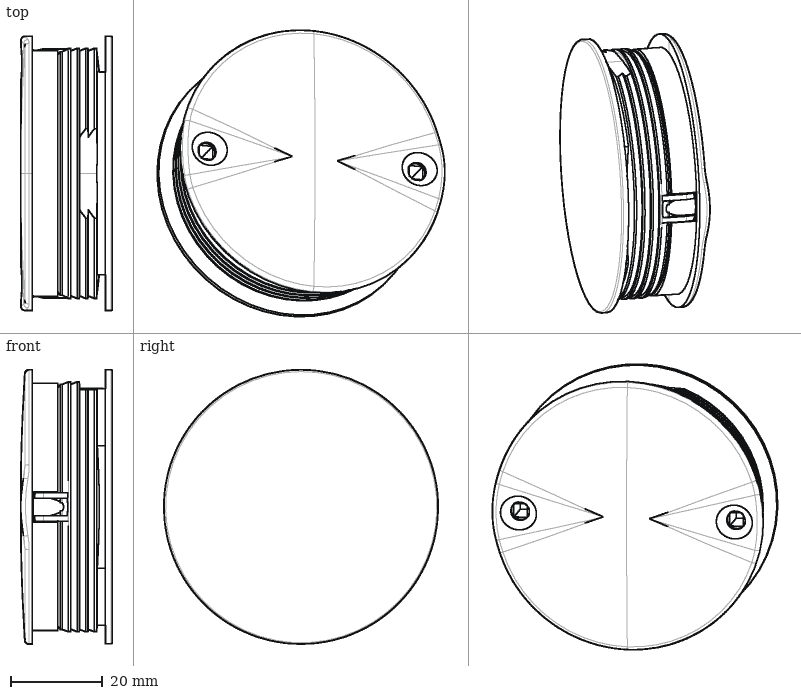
import cadquery as cq
import math

OUTER_R = 30.0
TOTAL_LENGTH = 20.1

DOME_R = 474.0
FLANGE_BACK = 2.6
RIM_FILLET = 0.95
CAP_BODY_R = 27.05
CAP_BACK = 8.15

RIDGE_APEX = 5.05
RIDGE_REFERENCE = 29.05
RIDGE_END = 31.2
RIDGE_CREST = 0.05
SHOULDER_HALF_WIDTH = 6.35
SHOULDER_DROP = 0.6
FOOT_HALF_WIDTH = 11.15
FOOT_SINK = 0.02
RIDGE_SECTIONS = 3
TIP_LENGTH = 0.2

HOLE_OFFSET = 24.0
SINK_R = 3.99
HOLE_R = 2.05
BUSHING_R = 2.95
BUSHING_FRONT = 2.8
BUSHING_BACK = 10.5
SQUARE_SIDE = 3.0

RIB_COUNT = 4
RIB_PITCH = 1.89
RIB_TIP_R = 27.35
RIB_ROOT_R = 26.8
RIB_TIP_WIDTH = 0.5
RIB_BACK_SLOPE = 0.05
RING_FRONT = 8.7
FIRST_RIB = 9.1
NECK_R = 26.1
HUB_R = 25.9
HUB_FLAT = 22.2
RING_BACK_AT_FLAT = 17.2
DISC_THICKNESS = 1.55
DISC_FILLET = 0.35

RELIEF_RIDGE_Z = 25.9
RELIEF_EDGE_Z = 25.55
RELIEF_HALF_WIDTH = 9.85

TONGUE_HALF_WIDTH = 3.1
SLOT_CLEARANCE = 0.2
TONGUE_INNER = 24.6
TONGUE_FRONT = 3.1
TONGUE_R = 27.3
LEAD_IN_LENGTH = 1.85
LEAD_IN_R = 26.9
CHANNEL_HALF_WIDTH = 1.9
CHANNEL_SLOPE = 0.23

DISC_FRONT = TOTAL_LENGTH - DISC_THICKNESS
RING_BACK = FIRST_RIB + RIB_COUNT * RIB_PITCH - RIB_BACK_SLOPE
FIRST_TIP = FIRST_RIB + RIB_PITCH - RIB_BACK_SLOPE - RIB_TIP_WIDTH
RELIEF_FRONT = FIRST_RIB + 2 * RIB_PITCH
SIDES = (-1, 1)


def revolve_about_x(profile):
    """Turn a closed XZ profile around the X axis."""
    return profile.close().revolve(360, (0, 0, 0), (1, 0, 0))


def x_cylinder(radius, front, back, y=0.0):
    plane = cq.Plane(origin=(front, y, 0), xDir=(0, 0, 1), normal=(1, 0, 0))
    return cq.Workplane(plane).circle(radius).extrude(back - front)


def x_box(front, back, side, y_inner, y_outer, half_width):
    """Box centred on Z = 0, between two distances from the axis on one Y side."""
    return cq.Workplane("XY").box(back - front, y_outer - y_inner, 2 * half_width).translate(
        ((front + back) / 2, side * (y_inner + y_outer) / 2, 0)
    )


def dome_x(radius):
    """X of the dome at a distance from the axis."""
    return DOME_R - math.sqrt(DOME_R**2 - radius**2)


def ridge_section(side, y):
    """Convex crest between two blends that run out on the dome."""
    growth = (y - RIDGE_APEX) / (RIDGE_REFERENCE - RIDGE_APEX)
    apex_x = dome_x(RIDGE_APEX)
    crest_x = apex_x + (RIDGE_CREST - apex_x) * growth
    shoulder_z = SHOULDER_HALF_WIDTH * growth
    drop = SHOULDER_DROP * growth**2
    foot_z = FOOT_HALF_WIDTH * growth
    foot_x = dome_x(math.hypot(y, foot_z)) + FOOT_SINK

    def point(x, z):
        return cq.Vector(x, side * y, z)

    def blend(sign):
        shoulder_slope = cq.Vector(2 * drop / shoulder_z, 0, sign)
        foot_slope = cq.Vector(foot_z / DOME_R, 0, sign)
        return cq.Edge.makeSpline(
            [point(crest_x + drop, sign * shoulder_z), point(foot_x, sign * foot_z)],
            [shoulder_slope, foot_slope],
        )

    crest = cq.Edge.makeThreePointArc(
        point(crest_x + drop, -shoulder_z), point(crest_x, 0), point(crest_x + drop, shoulder_z)
    )
    skirt = cq.Wire.makePolygon(
        [
            point(foot_x, foot_z),
            point(FLANGE_BACK, foot_z),
            point(FLANGE_BACK, -foot_z),
            point(foot_x, -foot_z),
        ]
    )
    return cq.Wire.assembleEdges([blend(-1), crest, blend(1), *skirt.Edges()])


def ridge(side):
    """Ridge from its point near the axis to the rounded rim."""
    step = (RIDGE_END - RIDGE_APEX) / RIDGE_SECTIONS
    tip = RIDGE_APEX + TIP_LENGTH
    places = [tip] + [RIDGE_APEX + i * step for i in range(1, RIDGE_SECTIONS + 1)]
    spike = cq.Solid.makeLoft([ridge_section(side, y) for y in places])
    trimmed = cq.Workplane(spike).intersect(x_cylinder(OUTER_R, -0.6, FLANGE_BACK))
    rim_face = trimmed.faces(cq.selectors.NearestToPointSelector((1.8, side * OUTER_R, 0)))
    return rim_face.edges("<X").fillet(RIM_FILLET)


def bushing(side):
    """Round bushing with a square bore."""
    y = side * HOLE_OFFSET
    body = x_cylinder(BUSHING_R, BUSHING_FRONT, BUSHING_BACK, y)
    return body.faces("<X").workplane(origin=(0, y, 0)).rect(SQUARE_SIDE, SQUARE_SIDE).cutThruAll()


def screw_hole(side):
    """Countersink at 45 degrees on a round hole that ends at the bushing."""
    y = side * HOLE_OFFSET
    sink = cq.Solid.makeCone(
        SINK_R, HOLE_R, SINK_R - HOLE_R, pnt=cq.Vector(RIDGE_CREST, y, 0), dir=cq.Vector(1, 0, 0)
    )
    mouth = x_cylinder(SINK_R, -0.6, RIDGE_CREST, y)
    return x_cylinder(HOLE_R, 0, BUSHING_FRONT, y).union(cq.Workplane(sink)).union(mouth)


def half_flange():
    """The -Y half of the domed flange, with its ridge."""
    side = -1
    half = (
        cq.Workplane("XZ")
        .moveTo(0, 0)
        .radiusArc((dome_x(OUTER_R), OUTER_R), DOME_R)
        .lineTo(FLANGE_BACK, OUTER_R)
        .lineTo(FLANGE_BACK, 0)
        .close()
        .revolve(180, (0, 0, 0), (1, 0, 0))
    )
    if half.val().Center().y > 0:
        half = half.mirror("XZ")
    rounded = half.faces("%CYLINDER").edges("<X").fillet(RIM_FILLET)
    return rounded.union(ridge(side))


def make_cap():
    half = half_flange()
    flange = half.union(half.mirror("XZ"))
    cap = flange.union(x_cylinder(CAP_BODY_R, FLANGE_BACK, CAP_BACK))
    for side in SIDES:
        slot = x_box(
            BUSHING_FRONT, CAP_BACK, side, TONGUE_INNER, OUTER_R, TONGUE_HALF_WIDTH + SLOT_CLEARANCE
        )
        pocket = x_cylinder(BUSHING_R, BUSHING_FRONT, CAP_BACK, side * HOLE_OFFSET)
        cap = cap.cut(slot).cut(pocket).cut(screw_hole(side))
    return cap


def ribbed_ring():
    """Ring with saw-tooth ribs and a slightly conical back."""
    profile = (
        cq.Workplane("XZ")
        .moveTo(CAP_BACK, 0)
        .lineTo(CAP_BACK, NECK_R)
        .lineTo(RING_FRONT, RIB_ROOT_R)
    )
    for i in range(RIB_COUNT):
        start = FIRST_RIB + i * RIB_PITCH
        tip_end = start + RIB_PITCH - RIB_BACK_SLOPE
        profile = (
            profile.lineTo(start, RIB_ROOT_R)
            .lineTo(tip_end - RIB_TIP_WIDTH, RIB_TIP_R)
            .lineTo(tip_end, RIB_TIP_R)
        )
    return revolve_about_x(profile.lineTo(RING_BACK_AT_FLAT, HUB_FLAT).lineTo(RING_BACK_AT_FLAT, 0))


def rib_relief():
    above = OUTER_R
    fall = (RELIEF_RIDGE_Z - RELIEF_EDGE_Z) / RELIEF_HALF_WIDTH
    half = OUTER_R / 2
    edge_z = RELIEF_RIDGE_Z - fall * half
    return (
        cq.Workplane("YZ", origin=(RELIEF_FRONT, 0, 0))
        .polyline([(-half, edge_z), (0, RELIEF_RIDGE_Z), (half, edge_z), (half, above), (-half, above)])
        .close()
        .extrude(RING_BACK_AT_FLAT - RELIEF_FRONT)
    )


def tongue(side):
    """Two rails with a lead-in at the front."""
    envelope = revolve_about_x(
        cq.Workplane("XZ")
        .moveTo(TONGUE_FRONT, 0)
        .lineTo(TONGUE_FRONT, LEAD_IN_R)
        .lineTo(TONGUE_FRONT + LEAD_IN_LENGTH, TONGUE_R)
        .lineTo(FIRST_TIP, TONGUE_R)
        .lineTo(FIRST_TIP, 0)
    )
    block = x_box(TONGUE_FRONT, RING_BACK, side, TONGUE_INNER, OUTER_R, TONGUE_HALF_WIDTH)
    floor_start = RIB_ROOT_R - CHANNEL_SLOPE * (FIRST_RIB - TONGUE_FRONT)
    channel = (
        cq.Workplane("XY")
        .polyline(
            [
                (TONGUE_FRONT, side * floor_start),
                (FIRST_RIB, side * RIB_ROOT_R),
                (FIRST_TIP, side * RIB_TIP_R),
                (FIRST_TIP, side * OUTER_R),
                (TONGUE_FRONT, side * OUTER_R),
            ]
        )
        .close()
        .extrude(CHANNEL_HALF_WIDTH, both=True)
    )
    return block.intersect(envelope).cut(channel)


def make_base():
    hub = x_cylinder(HUB_R, RING_BACK, DISC_FRONT).intersect(
        cq.Workplane("XY").box(3 * OUTER_R, 2 * HUB_FLAT, 3 * OUTER_R)
    )
    disc = x_cylinder(OUTER_R, DISC_FRONT, TOTAL_LENGTH).faces(">X").edges().fillet(DISC_FILLET)
    base = ribbed_ring().cut(rib_relief()).union(hub).union(disc)
    for side in SIDES:
        base = base.union(tongue(side))
        base = base.cut(x_cylinder(BUSHING_R, BUSHING_FRONT, BUSHING_BACK, side * HOLE_OFFSET))
    return base


cap = make_cap()
base = make_base()
bushings = [bushing(side) for side in SIDES]
result = cq.Compound.makeCompound([cap.val(), base.val(), *[b.val() for b in bushings]])